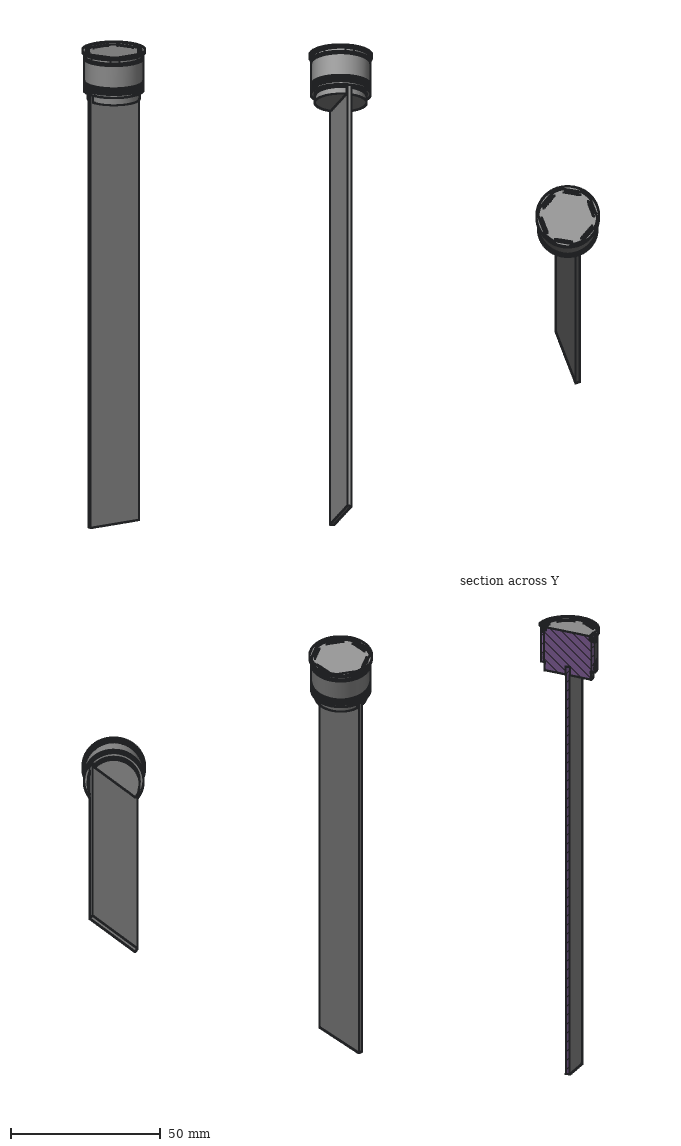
import cadquery as cq

TOTAL_HEIGHT = 164.0
SLEEVE_HEIGHT = 14.0
SLEEVE_BOTTOM = TOTAL_HEIGHT - SLEEVE_HEIGHT
PLUG_HEIGHT = 16.9
PLUG_BOTTOM = TOTAL_HEIGHT - PLUG_HEIGHT

FLANGE_RADIUS = 10.5
FLANGE_RIM_HEIGHT = 0.7
FLANGE_TAPER_HEIGHT = 0.3
SLEEVE_RADIUS = 10.0
GROOVE_DEPTH = 0.25
GROOVE_WIDTH = 0.8
GROOVE_DISTANCES_FROM_TOP = (2.1, 10.7, 12.1)

PLUG_RADIUS = 8.7
NECK_RADIUS = 8.5
NECK_HEIGHT = 0.5
HEAD_RADIUS = 9.8
HEAD_FLAT_DISTANCE = 9.2
HEAD_THICKNESS = 2.0
HEAD_RECESS = 0.8
SIDE_COUNT = 6
NOTCH_FLAT_DISTANCE = 8.2
NOTCH_DEPTH = 1.3
HEAD_TOP = TOTAL_HEIGHT - HEAD_RECESS
HEAD_BOTTOM = HEAD_TOP - HEAD_THICKNESS

BLADE_THICKNESS = 1.5
BLADE_WIDTH = 19.2


def cylinder(radius, bottom, top):
    return cq.Workplane("XY").workplane(offset=bottom).circle(radius).extrude(top - bottom)


def hexagonal_prism(flat_distance, bottom, top):
    """Prism with two flats facing +X and -X."""
    return (
        cq.Workplane("XY")
        .workplane(offset=bottom)
        .polygon(SIDE_COUNT, 2 * flat_distance, circumscribed=True)
        .extrude(top - bottom)
    )


def head_shape(bottom, top):
    """Disc trimmed by six flats."""
    return cylinder(HEAD_RADIUS, bottom, top).intersect(
        hexagonal_prism(HEAD_FLAT_DISTANCE, bottom, top)
    )


def sleeve_profile():
    """Outer half-section: cylinder with V-grooves, and a flange tapering in below its rim."""
    rim_bottom = TOTAL_HEIGHT - FLANGE_RIM_HEIGHT
    profile = (
        cq.Workplane("XZ")
        .moveTo(0, SLEEVE_BOTTOM)
        .lineTo(0, TOTAL_HEIGHT)
        .lineTo(FLANGE_RADIUS, TOTAL_HEIGHT)
        .lineTo(FLANGE_RADIUS, rim_bottom)
        .lineTo(SLEEVE_RADIUS, rim_bottom - FLANGE_TAPER_HEIGHT)
    )
    for distance in GROOVE_DISTANCES_FROM_TOP:
        groove_top = TOTAL_HEIGHT - distance
        profile = (
            profile.lineTo(SLEEVE_RADIUS, groove_top)
            .lineTo(SLEEVE_RADIUS - GROOVE_DEPTH, groove_top - GROOVE_WIDTH / 2)
            .lineTo(SLEEVE_RADIUS, groove_top - GROOVE_WIDTH)
        )
    return profile.lineTo(SLEEVE_RADIUS, SLEEVE_BOTTOM).close()


def make_sleeve():
    sleeve = sleeve_profile().revolve(360, (0, 0, 0), (0, 1, 0))
    sleeve = sleeve.cut(cylinder(PLUG_RADIUS, SLEEVE_BOTTOM, TOTAL_HEIGHT))
    return sleeve.cut(head_shape(HEAD_BOTTOM, TOTAL_HEIGHT))


def make_blade():
    return cq.Workplane("XY").box(
        BLADE_THICKNESS, BLADE_WIDTH, SLEEVE_BOTTOM, centered=(True, True, False)
    )


def make_plug(blade):
    plug = cylinder(PLUG_RADIUS, PLUG_BOTTOM, HEAD_TOP)
    plug = plug.union(head_shape(HEAD_BOTTOM, HEAD_TOP))
    notch_bottom = HEAD_TOP - NOTCH_DEPTH
    notches = cylinder(PLUG_RADIUS, notch_bottom, HEAD_TOP).cut(
        hexagonal_prism(NOTCH_FLAT_DISTANCE, notch_bottom, HEAD_TOP)
    )
    neck_bottom = SLEEVE_BOTTOM - NECK_HEIGHT
    neck_cut = cylinder(PLUG_RADIUS, neck_bottom, SLEEVE_BOTTOM).cut(
        cylinder(NECK_RADIUS, neck_bottom, SLEEVE_BOTTOM)
    )
    return plug.cut(notches).cut(neck_cut).cut(blade)


sleeve = make_sleeve()
blade = make_blade()
plug = make_plug(blade)

result = cq.Compound.makeCompound([sleeve.val(), plug.val(), blade.val()])